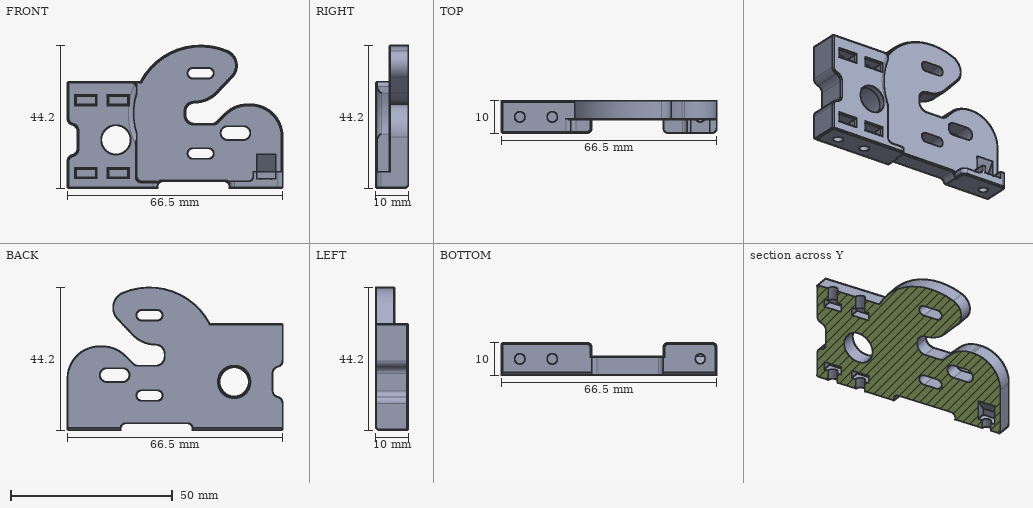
import cadquery as cq
import math


up = math.pi / 2
down = -math.pi / 2
left = math.pi

length = 66.5
total_height = 44.18
depth = 10.0
plate_thickness = 5.9
block_height = 33.0
edge_chamfer = 0.4
back_bottom_chamfer = 0.9
corner_radius = 1.5

wall_x = 21.45
foot_height = 2.2
left_foot_end = 27.9
right_foot_start = 50.0
mid_z = 15.0
notch_depth = 3.1
notch_arc_radius = 2.0
notch_floor_half = 2.7
bore_x = 15.0
bore_diameter = 9.0
back_bore_diameter = 10.1
bore_front_length = 2.0

screw_diameter = 3.2
screw_y = -5.0
screw_xs = (5.7, 15.7)
nut_width = 6.0
nut_height = 2.5
lower_nut_z = 4.75
upper_nut_z = 27.25

wheel_x = 41.15
head_radius = 21.0
wheel_z = total_height - head_radius
clearance_front_radius = 22.4
clearance_radius = 20.7
head_start = math.pi - math.asin((block_height - wheel_z) / head_radius)
tip_radius = 5.0
tip_direction = math.radians(67)
gullet_left = 36.5
gullet_bottom = 20.0
gullet_top = 26.45
gullet_radius = 2.7
throat_radius = 9.8
lobe_radius = 10.0
lobe_top = 26.0
lobe_flat = 0.8
lobe_slope = math.radians(45)
lobe_foot_radius = 2.0

slot_rise = 12.4
slots = (
    (wheel_x, wheel_z - slot_rise, 8.0, 3.2),
    (wheel_x, wheel_z + slot_rise, 8.0, 3.2),
    (51.9, 17.1, 9.1, 4.2),
)

raised_start = 57.4
raised_height = 5.2
raised_overlap = 1.0
foot_nut_x = 61.4
foot_nut_width = 5.9
foot_nut_floor = 2.95
foot_nut_back = -2.1
foot_nut_top = 10.5
foot_screw_diameter = 3.0


def polar(center, radius, angle):
    return (center[0] + radius * math.cos(angle), center[1] + radius * math.sin(angle))


def box(x0, x1, y0, y1, z0, z1):
    return cq.Workplane("XY").box(x1 - x0, y1 - y0, z1 - z0, centered=False).translate((x0, y0, z0))


def add_arc(outline, center, radius, start, end):
    """Continue the outline along an arc from its start angle to its end angle."""
    return outline.threePointArc(polar(center, radius, (start + end) / 2), polar(center, radius, end))


def plate():
    wheel = (wheel_x, wheel_z)
    tip = polar(wheel, head_radius - tip_radius, tip_direction)
    throat = (gullet_left + gullet_radius, gullet_top + throat_radius)
    gullet_upper = (gullet_left + gullet_radius, gullet_top - gullet_radius)
    gullet_lower = (gullet_left + gullet_radius, gullet_bottom + gullet_radius)
    lobe_right = (length - lobe_radius, lobe_top - lobe_radius)
    lobe_left = (lobe_right[0] - lobe_flat, lobe_right[1])

    run, rise = tip[0] - throat[0], tip[1] - throat[1]
    turn = math.asin((throat_radius - tip_radius) / math.hypot(run, rise))
    tangent_angle = math.atan2(rise, run) - up + turn

    lobe_tangent_angle = up + lobe_slope
    lobe_tangent = polar(lobe_left, lobe_radius, lobe_tangent_angle)
    flank_foot_x = lobe_tangent[0] - (lobe_tangent[1] - gullet_bottom) / math.tan(lobe_slope)
    flank_center = (
        flank_foot_x - lobe_foot_radius * math.tan(lobe_slope / 2),
        gullet_bottom + lobe_foot_radius,
    )

    left_edge = wall_x - corner_radius
    arch_left = (left_foot_end + corner_radius, foot_height - corner_radius)
    arch_right = (right_foot_start - corner_radius, foot_height - corner_radius)

    outline = cq.Workplane("XZ").moveTo(left_edge, 0).lineTo(left_edge, block_height)
    outline = outline.lineTo(*polar(wheel, head_radius, head_start))
    outline = add_arc(outline, wheel, head_radius, head_start, tip_direction)
    outline = add_arc(outline, tip, tip_radius, tip_direction, tangent_angle)
    outline = outline.lineTo(*polar(throat, throat_radius, tangent_angle))
    outline = add_arc(outline, throat, throat_radius, tangent_angle, down)
    outline = add_arc(outline, gullet_upper, gullet_radius, up, left)
    outline = outline.lineTo(*polar(gullet_lower, gullet_radius, left))
    outline = add_arc(outline, gullet_lower, gullet_radius, left, left + up)
    outline = outline.lineTo(flank_center[0], gullet_bottom)
    outline = add_arc(outline, flank_center, lobe_foot_radius, down, down + lobe_slope)
    outline = outline.lineTo(*lobe_tangent)
    outline = add_arc(outline, lobe_left, lobe_radius, lobe_tangent_angle, up)
    outline = outline.lineTo(lobe_right[0], lobe_top)
    outline = add_arc(outline, lobe_right, lobe_radius, up, 0)
    outline = outline.lineTo(length, edge_chamfer).lineTo(length - edge_chamfer, 0)
    outline = outline.lineTo(right_foot_start, 0)
    outline = outline.lineTo(*polar(arch_right, corner_radius, 0))
    outline = add_arc(outline, arch_right, corner_radius, 0, up)
    outline = outline.lineTo(*polar(arch_left, corner_radius, up))
    outline = add_arc(outline, arch_left, corner_radius, up, left)
    outline = outline.lineTo(left_foot_end, 0).close()
    return outline.extrude(plate_thickness).faces("<Y").edges().chamfer(edge_chamfer)


def notch_outline(outline):
    """Continue a left edge down from the top through the S-curved end notch."""
    half_depth = notch_depth / 2
    swing = math.acos(1 - half_depth / notch_arc_radius)
    reach = notch_arc_radius * math.sin(swing)
    outer_half = notch_floor_half + 2 * reach
    mouth_x = notch_arc_radius
    floor_x = notch_depth - notch_arc_radius
    mouth_upper = (mouth_x, mid_z + outer_half)
    floor_upper = (floor_x, mid_z + notch_floor_half)
    floor_lower = (floor_x, mid_z - notch_floor_half)
    mouth_lower = (mouth_x, mid_z - outer_half)
    outline = outline.lineTo(0, mouth_upper[1])
    outline = add_arc(outline, mouth_upper, notch_arc_radius, math.pi, math.pi + swing)
    outline = add_arc(outline, floor_upper, notch_arc_radius, swing, 0)
    outline = outline.lineTo(notch_depth, floor_lower[1])
    outline = add_arc(outline, floor_lower, notch_arc_radius, 0, -swing)
    return add_arc(outline, mouth_lower, notch_arc_radius, math.pi - swing, math.pi)


def block():
    inner = (wall_x + corner_radius, foot_height + corner_radius)
    outer = (wall_x - corner_radius, block_height - corner_radius)
    outline = cq.Workplane("XZ").moveTo(0, 0).lineTo(left_foot_end, 0)
    outline = outline.lineTo(left_foot_end, foot_height).lineTo(inner[0], foot_height)
    outline = add_arc(outline, inner, corner_radius, down, down - up)
    outline = outline.lineTo(wall_x, outer[1])
    outline = add_arc(outline, outer, corner_radius, 0, up)
    outline = outline.lineTo(0, block_height)
    body = notch_outline(outline).close().extrude(depth)

    body = body.edges("|Z and >X and <Y").fillet(corner_radius)
    body = body.faces("<Y").edges("not(|Z and >X)").chamfer(edge_chamfer)
    body = body.faces("<X").edges("|Y and (>Z or <Z)").chamfer(edge_chamfer)
    return body


def right_foot():
    low = box(right_foot_start, length, -depth, 0, 0, foot_height)
    raised_back = raised_overlap - plate_thickness
    raised = box(raised_start, length, -depth, raised_back, 0, raised_height)
    ramp = box(
        raised_start - corner_radius, raised_start,
        -depth, raised_back,
        foot_height, foot_height + corner_radius,
    )
    ramp_round = (
        cq.Workplane("XZ")
        .center(raised_start - corner_radius, foot_height + corner_radius)
        .circle(corner_radius)
        .extrude(depth)
    )
    foot = low.union(raised).union(ramp.cut(ramp_round))
    foot = foot.edges("|Z and <Y and (<X or >X)").fillet(corner_radius)
    return foot.faces("<Z").edges("<Y or >X").chamfer(edge_chamfer)


def wheel_clearance():
    """Round space in front of the plate with a flared mouth, hollowing the right wall of the block."""
    flare = clearance_front_radius - clearance_radius
    flare_swing = math.pi / 4
    flare_middle = polar((clearance_front_radius, flare - depth), flare, math.pi + flare_swing)
    disc = (
        cq.Workplane("XY", origin=(wheel_x, 0, wheel_z))
        .moveTo(0, -plate_thickness)
        .lineTo(clearance_radius, -plate_thickness)
        .lineTo(clearance_radius, flare - depth)
        .threePointArc(flare_middle, (clearance_front_radius, -depth))
        .lineTo(0, -depth)
        .close()
        .revolve(360, (0, 0, 0), (0, 1, 0))
    )
    keep = box(0, wall_x, -depth, -plate_thickness, foot_height, block_height)
    return disc.intersect(keep)


def bore():
    plane = cq.Workplane("XZ").center(bore_x, mid_z)
    narrow = plane.circle(bore_diameter / 2).extrude(depth)
    wide = plane.circle(back_bore_diameter / 2).extrude(depth - bore_front_length)
    return narrow.union(wide)


def nut_pocket(x, z):
    bottom_y = screw_y + nut_width / 2
    pocket = box(
        x - nut_width / 2, x + nut_width / 2,
        -depth, bottom_y,
        z - nut_height / 2, z + nut_height / 2,
    )
    mouth = (
        cq.Workplane("XZ", origin=(x, -depth + edge_chamfer, z))
        .rect(nut_width, nut_height)
        .workplane(offset=edge_chamfer)
        .rect(nut_width + 2 * edge_chamfer, nut_height + 2 * edge_chamfer)
        .loft()
    )
    return pocket.union(mouth)


def screw_hole(x, diameter, z0, z1):
    return cq.Workplane("XY", origin=(x, screw_y, z0)).circle(diameter / 2).extrude(z1 - z0)


def foot_nut_pocket():
    profile = [
        (-depth, foot_nut_floor),
        (foot_nut_back, foot_nut_floor),
        (foot_nut_back, raised_height),
        (-plate_thickness, foot_nut_top),
        (-depth, foot_nut_top),
    ]
    start_x = foot_nut_x - foot_nut_width / 2
    return cq.Workplane("YZ", origin=(start_x, 0, 0)).polyline(profile).close().extrude(foot_nut_width)


def back_bottom_wedge():
    corner = [(0, 0), (-back_bottom_chamfer, 0), (0, back_bottom_chamfer)]
    return cq.Workplane("YZ").polyline(corner).close().extrude(length)


def back_top_wedge():
    corner = [(0, block_height), (-edge_chamfer, block_height), (0, block_height - edge_chamfer)]
    head_start_x = wheel_x + head_radius * math.cos(head_start)
    return cq.Workplane("YZ").polyline(corner).close().extrude(head_start_x)


result = block().cut(wheel_clearance()).union(plate()).union(right_foot())
result = result.cut(bore()).cut(back_bottom_wedge()).cut(back_top_wedge())

for screw_x in screw_xs:
    result = result.cut(nut_pocket(screw_x, lower_nut_z)).cut(nut_pocket(screw_x, upper_nut_z))
    result = result.cut(screw_hole(screw_x, screw_diameter, 0, lower_nut_z))
    result = result.cut(screw_hole(screw_x, screw_diameter, upper_nut_z, block_height))

for slot_x, slot_z, slot_length, slot_width in slots:
    slot = cq.Workplane("XZ").center(slot_x, slot_z).slot2D(slot_length, slot_width).extrude(depth)
    result = result.cut(slot)

result = result.cut(foot_nut_pocket())
result = result.cut(screw_hole(foot_nut_x, foot_screw_diameter, 0, foot_nut_floor))